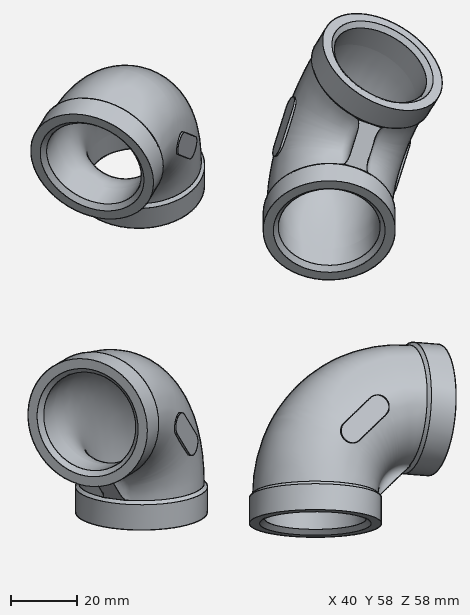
import cadquery as cq
import math


BEND_ANGLE = 90.0
END_TO_CENTRE = 38.0
COLLAR_RADIUS = 20.0
COLLAR_LENGTH = 9.0
SHOULDER_BEVEL = 1.0
BORE_RADIUS = 15.4
MOUTH_RADIUS = 16.9

WEB_THICKNESS = 6.0
WEB_FILLET = 3.0

BADGE_SPACING = 12.0
BADGE_WIDTH = 7.0
BADGE_FACE_X = 19.4
BADGE_TO_BEND_CENTRE = 28.5

BODY_RADIUS = COLLAR_RADIUS - SHOULDER_BEVEL
BEND_RADIUS = END_TO_CENTRE - COLLAR_LENGTH
LEAD_IN = MOUTH_RADIUS - BORE_RADIUS
BEND_CENTRE_Y = -BEND_RADIUS
BEND_CENTRE_Z = COLLAR_LENGTH


def to_second_leg(shape):
    """Turn a round shape from the downward leg onto the -Y leg."""
    turned = shape.rotate((0, 0, 0), (1, 0, 0), -BEND_ANGLE)
    return turned.translate((0, -END_TO_CENTRE, END_TO_CENTRE))


def on_both_legs(shape):
    """Join a shape on the downward leg with its copy on the -Y leg."""
    return shape.union(to_second_leg(shape))


def sweep_round_bend(section):
    """Revolve a horizontal section about the bend axis, from one leg to the other."""
    return section.revolve(BEND_ANGLE, (0, BEND_CENTRE_Y, 0), (1, BEND_CENTRE_Y, 0))


def quarter_bend(radius):
    """Solid quarter torus joining the inner ends of the two collars."""
    section = cq.Workplane("XY").workplane(offset=BEND_CENTRE_Z).circle(radius)
    return sweep_round_bend(section)


def collar():
    """End ring of one leg with its bevelled shoulder."""
    blank = cq.Workplane("XY").circle(COLLAR_RADIUS).extrude(COLLAR_LENGTH)
    return blank.faces(">Z").chamfer(SHOULDER_BEVEL)


def socket_bore():
    """Straight bore of one leg with its lead-in chamfer."""
    mouth = cq.Workplane("XY").circle(MOUTH_RADIUS)
    lead_in = mouth.workplane(offset=LEAD_IN).circle(BORE_RADIUS).loft()
    return cq.Workplane("XY").circle(BORE_RADIUS).extrude(COLLAR_LENGTH).union(lead_in)


def crotch_web():
    """Rib swept round the inside of the bend, faced off flat at 45 degrees."""
    half = WEB_THICKNESS / 2
    fillet_x = half + WEB_FILLET
    fillet_distance = BODY_RADIUS + WEB_FILLET
    fillet_y = -math.sqrt(fillet_distance**2 - fillet_x**2)
    root_x = fillet_x * BODY_RADIUS / fillet_distance
    root_y = fillet_y * BODY_RADIUS / fillet_distance
    root_angle = math.atan2(root_y - fillet_y, root_x - fillet_x)
    mid_angle = (root_angle + math.pi) / 2
    mid_x = fillet_x + WEB_FILLET * math.cos(mid_angle)
    mid_y = fillet_y + WEB_FILLET * math.sin(mid_angle)
    wall_centre_y = -(BORE_RADIUS + BODY_RADIUS) / 2

    section = (
        cq.Workplane("XY")
        .workplane(offset=BEND_CENTRE_Z)
        .moveTo(-half, BEND_CENTRE_Y)
        .lineTo(half, BEND_CENTRE_Y)
        .lineTo(half, fillet_y)
        .threePointArc((mid_x, mid_y), (root_x, root_y))
        .lineTo(root_x, wall_centre_y)
        .lineTo(-root_x, wall_centre_y)
        .lineTo(-root_x, root_y)
        .threePointArc((-mid_x, mid_y), (-half, fillet_y))
        .close()
    )
    rib = sweep_round_bend(section)
    inside_radius = BEND_RADIUS - BODY_RADIUS
    waste = (
        cq.Workplane("YZ")
        .moveTo(BEND_CENTRE_Y, BEND_CENTRE_Z)
        .lineTo(BEND_CENTRE_Y + inside_radius, BEND_CENTRE_Z)
        .lineTo(BEND_CENTRE_Y, BEND_CENTRE_Z + inside_radius)
        .close()
        .extrude(BODY_RADIUS, both=True)
    )
    return rib.cut(waste)


def badges():
    """Flat oblong pads on both flanks, halfway round the bend."""
    offset = BADGE_TO_BEND_CENTRE * math.cos(math.radians(BEND_ANGLE / 2))
    return (
        cq.Workplane("YZ")
        .center(BEND_CENTRE_Y + offset, BEND_CENTRE_Z + offset)
        .slot2D(BADGE_SPACING + BADGE_WIDTH, BADGE_WIDTH, -BEND_ANGLE / 2)
        .extrude(BADGE_FACE_X, both=True)
    )


body = quarter_bend(BODY_RADIUS).union(on_both_legs(collar()))
body = body.union(crotch_web()).union(badges())
result = body.cut(on_both_legs(socket_bore())).cut(quarter_bend(BORE_RADIUS))